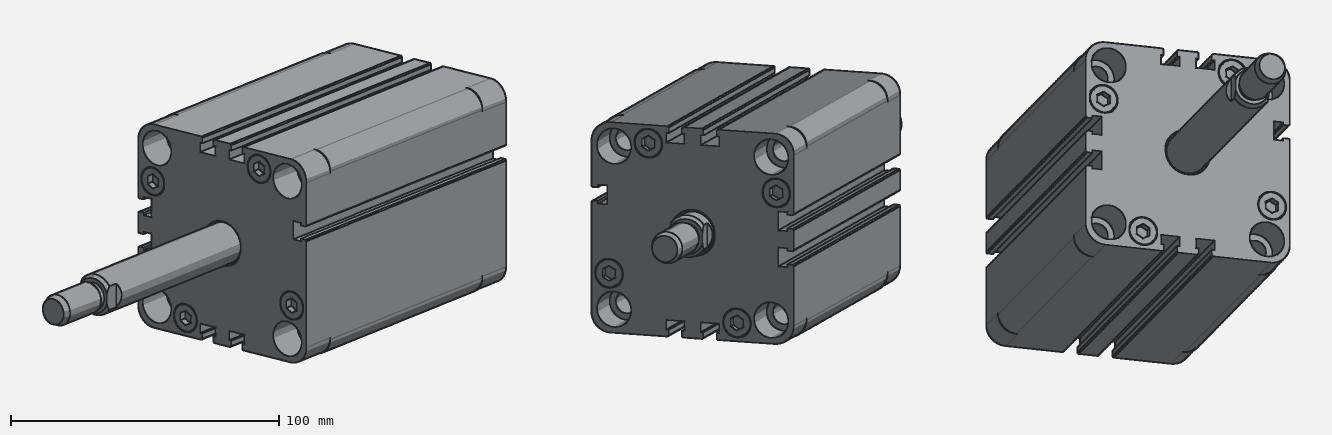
import cadquery as cq
import math


body_width = 80.0
body_length = 120.0
cap_length = 14.3
cap_corner_radius = 7.6
tube_corner_radius = 7.0
front_face = -body_length / 2
rear_face = body_length / 2

slot_offset = 6.85
slot_mouth_width = 5.2
slot_inner_width = 7.2
slot_depth = 6.3
slot_lip = 2.6
slot_edge_chamfer = 0.5
single_slot_height = 12.3

mount_offset = 31.0
mount_hole_diameter = 8.57
mount_bore_diameter = 13.5
mount_bore_depth = cap_length

screw_near_offset = 17.5
screw_far_offset = 33.0
screw_bore_diameter = 11.1
screw_head_diameter = 10.5
screw_gap_depth = 3.0
socket_across_flats = 5.0
socket_depth = 3.0
socket_turn = 30.0

rod_diameter = 16.0
stroke = 70.0
rear_reach = 31.5
front_reach = rear_reach + stroke
rod_seal_diameter = 17.6
rod_seal_depth = 1.0

thread_diameter = 12.0
tip_diameter = 10.0
tip_chamfer_length = 2.6
neck_diameter = 10.5
neck_start = 22.0
neck_chamfer = (thread_diameter - neck_diameter) / 2
shoulder_start = 24.0
shoulder_chamfer_length = 1.5
shoulder_chamfer = 1.2

flats_width = 13.0
flats_length = 5.5
flats_runout = (rod_diameter - flats_width) / 2


def along_y(start):
    """Workplane at Y = start whose normal is +Y and whose local axes are +X and -Z."""
    return cq.Workplane(cq.Plane(origin=(0, start, 0), xDir=(1, 0, 0), normal=(0, 1, 0)))


def rounded_block(start, length, corner_radius):
    block = along_y(start).rect(body_width, body_width).extrude(length)
    return block.edges("|Y").fillet(corner_radius)


def make_body():
    front_cap = rounded_block(front_face, cap_length, cap_corner_radius)
    tube = rounded_block(front_face + cap_length, body_length - 2 * cap_length, tube_corner_radius)
    rear_cap = rounded_block(rear_face - cap_length, cap_length, cap_corner_radius)
    return front_cap.union(tube).union(rear_cap)


def sensor_slot(offset, side_angle):
    """Slot in the top face at X = offset, turned about Y to the wanted side."""
    top = body_width / 2
    mouth = cq.Workplane("XY").box(slot_mouth_width, body_length, 2 * slot_depth)
    mouth = mouth.translate((offset, 0, top))
    mouth_edge = slot_mouth_width / 2
    bevel_edge = mouth_edge + slot_edge_chamfer
    bevel = (
        along_y(front_face)
        .moveTo(offset - mouth_edge, slot_edge_chamfer - top)
        .lineTo(offset - bevel_edge, -top)
        .lineTo(offset + bevel_edge, -top)
        .lineTo(offset + mouth_edge, slot_edge_chamfer - top)
        .close()
        .extrude(body_length)
    )
    inner_height = slot_depth - slot_lip
    inner = cq.Workplane("XY").box(slot_inner_width, body_length, inner_height)
    inner = inner.translate((offset, 0, top - slot_depth + inner_height / 2))
    return mouth.union(bevel).union(inner).rotate((0, 0, 0), (0, 1, 0), side_angle)


def cut_sensor_slots(body):
    for side_angle in (0, 180, -90):
        for offset in (-slot_offset, slot_offset):
            body = body.cut(sensor_slot(offset, side_angle))
    return body.cut(sensor_slot(-single_slot_height, 90))


def cut_mounting_holes(body):
    corners = [(x, z) for x in (-mount_offset, mount_offset) for z in (-mount_offset, mount_offset)]
    holes = along_y(front_face).pushPoints(corners).circle(mount_hole_diameter / 2).extrude(body_length)
    body = body.cut(holes)
    for start in (front_face, rear_face - mount_bore_depth):
        bores = along_y(start).pushPoints(corners).circle(mount_bore_diameter / 2)
        body = body.cut(bores.extrude(mount_bore_depth))
    return body


def ring(start, depth, outer_diameter, inner_diameter):
    return along_y(start).circle(outer_diameter / 2).circle(inner_diameter / 2).extrude(depth)


def front_screw_recess():
    """Clearance ring and hexagon socket of one screw in the front face, on the rod axis."""
    corner_diameter = socket_across_flats / math.cos(math.radians(socket_turn))
    socket = along_y(front_face).polygon(6, corner_diameter).extrude(socket_depth)
    socket = socket.rotate((0, 0, 0), (0, 1, 0), socket_turn)
    gap = ring(front_face, screw_gap_depth, screw_bore_diameter, screw_head_diameter)
    return gap.union(socket)


def cut_screw_recesses(body):
    screw_places = [
        (screw_near_offset, screw_far_offset),
        (screw_far_offset, -screw_near_offset),
        (-screw_near_offset, -screw_far_offset),
        (-screw_far_offset, screw_near_offset),
    ]
    for x, z in screw_places:
        recess = front_screw_recess().translate((x, 0, z))
        body = body.cut(recess).cut(recess.mirror("XZ"))
    return body


def cut_rod_seals(body):
    for start in (front_face, rear_face - rod_seal_depth):
        body = body.cut(ring(start, rod_seal_depth, rod_seal_diameter, rod_diameter))
    return body


def front_rod_half(tip):
    """Rod from the middle of the body to a tip at Y = tip on the front side."""
    shoulder = tip + shoulder_start
    profile = [
        (0, 0),
        (rod_diameter / 2, 0),
        (rod_diameter / 2, shoulder + shoulder_chamfer_length),
        (rod_diameter / 2 - shoulder_chamfer, shoulder),
        (neck_diameter / 2, shoulder),
        (neck_diameter / 2, tip + neck_start),
        (thread_diameter / 2, tip + neck_start - neck_chamfer),
        (thread_diameter / 2, tip + tip_chamfer_length),
        (tip_diameter / 2, tip),
        (0, tip),
    ]
    rod = cq.Workplane("XY").polyline(profile).close().revolve(360, (0, 0, 0), (0, 1, 0))
    flat = (
        cq.Workplane("XY")
        .moveTo(flats_width / 2, shoulder)
        .lineTo(flats_width / 2, shoulder + flats_length)
        .lineTo(flats_width / 2 + flats_runout, shoulder + flats_length + flats_runout)
        .lineTo(rod_diameter, shoulder + flats_length + flats_runout)
        .lineTo(rod_diameter, shoulder)
        .close()
        .extrude(rod_diameter / 2, both=True)
    )
    return rod.cut(flat).cut(flat.mirror("YZ"))


def make_rod():
    front_half = front_rod_half(front_face - front_reach)
    rear_half = front_rod_half(front_face - rear_reach).mirror("XZ")
    return front_half.union(rear_half)


cylinder = make_body()
cylinder = cut_sensor_slots(cylinder)
cylinder = cut_mounting_holes(cylinder)
cylinder = cut_screw_recesses(cylinder)
cylinder = cut_rod_seals(cylinder)
result = cylinder.union(make_rod())